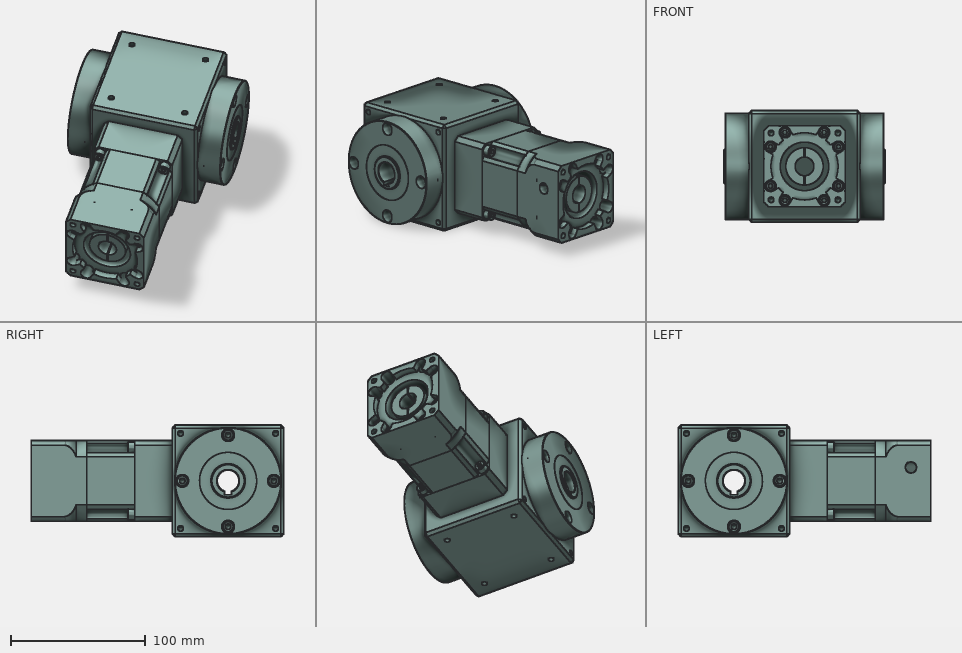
import cadquery as cq
import math


overall_length = 187.7
cube_side = 83.0
cube_chamfer = 2.3
top_hole_offset = 28.3
side_hole_offset = 35.3
tapped_hole_radius = 2.0
tapped_hole_depth = 9.4
drill_tip_angle = 118.0

flange_radius = 39.6
flange_half_span = 59.0
flange_chamfer = 0.4
seal_radius = 21.2
seal_recess = 0.2
shaft_radius = 12.8
shaft_span = 120.0
shaft_chamfer = 0.8
bore_radius = 8.0
bore_chamfer = 0.4
key_width = 5.0
key_bottom = 10.1
flange_screw_circle = 34.0
flange_pocket_radius = 4.7
flange_pocket_depth = 13.1
flange_head_radius = 4.1
flange_head_height = 4.1
flange_center_radius = 2.0
flange_center_depth = 2.3

stage_side = 60.3
stage_chamfer = 3.5
block_length = 27.5
ring_length = 35.7
ring_flat_half_width = 17.8
screw_offset = 24.8
channel_radius = 5.0
screw_head_radius = 4.0
screw_head_height = 5.3
screw_head_chamfer = 0.4
socket_diameter = 3.5
socket_depth = 2.3

turned_length = 8.0
flare_length = 9.4
pilot_radius = 25.0
pilot_depth = 5.5
through_bore_radius = 18.0
motor_hole_offset = 24.8
pocket_radius = 4.1
pocket_depth = 22.5
pocket_circle = 29.0
pocket_angle = 30
pocket_head_radius = 3.5
access_radius = 4.1
access_height = 10.0
access_from_front = 14.8

hub_radius = 13.9
hub_bore_radius = 7.0
hub_bore_depth = 26.3
hub_slot_width = 1.0
hub_setback = 1.5

cube_half = cube_side / 2
shaft_half_span = shaft_span / 2
stage_half = stage_side / 2
block_rear = -cube_half
block_front = block_rear - block_length
ring_front = block_front - ring_length
adapter_front = cube_half - overall_length
pilot_floor = adapter_front + pilot_depth
hub_front = pilot_floor + hub_setback
adapter_length = ring_front - adapter_front
turned_radius = math.hypot(stage_half, ring_flat_half_width)
corner_radius = math.hypot(stage_half, stage_half - stage_chamfer)
corner_signs = [(sx, sz) for sx in (-1, 1) for sz in (-1, 1)]


def cylinder(start, direction, radius, length):
    """Solid cylinder from a start point along a direction."""
    return cq.Workplane(cq.Solid.makeCylinder(radius, length, cq.Vector(*start), cq.Vector(*direction)))


def drilled_hole(start, direction, radius, depth):
    """Blind hole cutter that ends in a conical drill tip."""
    tip_length = radius / math.tan(math.radians(drill_tip_angle / 2))
    tip_start = cq.Vector(*start) + cq.Vector(*direction) * depth
    tip = cq.Solid.makeCone(radius, 0, tip_length, tip_start, cq.Vector(*direction))
    return cylinder(start, direction, radius, depth).union(cq.Workplane(tip))


def chamfered_prism(rear, length, chamfer):
    """Square bar along the input axis, from its rear end toward -Y, with chamfered long edges."""
    return (
        cq.Workplane("XZ", origin=(0, rear, 0))
        .rect(stage_side, stage_side)
        .extrude(length)
        .edges("|Y")
        .chamfer(chamfer)
    )


def socket_screw_head(x, seat, z, radius):
    """Cap-screw head on a seat at y = seat, with its hexagon socket toward -Y."""
    return (
        cq.Workplane("XZ", origin=(x, seat, z))
        .circle(radius)
        .extrude(screw_head_height)
        .faces("<Y")
        .chamfer(screw_head_chamfer)
        .faces("<Y")
        .workplane()
        .polygon(6, socket_diameter)
        .cutBlind(-socket_depth)
    )


def add_output_side(case, side):
    """Add the flange and shaft end on one side of the cube (side is -1 or +1)."""
    outward = (side, 0, 0)
    inward = (-side, 0, 0)
    end_face = ">X" if side > 0 else "<X"
    flange = cylinder((0, 0, 0), outward, flange_radius, flange_half_span)
    flange = flange.faces(end_face).chamfer(flange_chamfer)
    flange = flange.cut(cylinder((side * flange_half_span, 0, 0), inward, seal_radius, seal_recess))
    shaft = cylinder((0, 0, 0), outward, shaft_radius, shaft_half_span)
    shaft = shaft.faces(end_face).chamfer(shaft_chamfer)
    case = case.union(flange).union(shaft)

    pocket_floor = flange_half_span - flange_pocket_depth
    head_face = pocket_floor + flange_head_height
    for quarter in range(4):
        angle = math.radians(90 * quarter)
        y = flange_screw_circle * math.cos(angle)
        z = flange_screw_circle * math.sin(angle)
        pocket = cylinder((side * flange_half_span, y, z), inward, flange_pocket_radius, flange_pocket_depth)
        head = cylinder((side * pocket_floor, y, z), outward, flange_head_radius, flange_head_height)
        head = head.faces(end_face).chamfer(screw_head_chamfer)
        center = drilled_hole((side * head_face, y, z), inward, flange_center_radius, flange_center_depth)
        case = case.cut(pocket).union(head).cut(center)

    for sy, sz in corner_signs:
        start = (side * cube_half, sy * side_hole_offset, sz * side_hole_offset)
        case = case.cut(drilled_hole(start, inward, tapped_hole_radius, tapped_hole_depth))
    return case


def output_bore():
    """Keyed through bore along the output axis, chamfered at both ends."""
    bore = cylinder((-shaft_half_span, 0, 0), (1, 0, 0), bore_radius, shaft_span)
    for side in (-1, 1):
        mouth = cq.Solid.makeCone(
            bore_radius + bore_chamfer,
            bore_radius,
            bore_chamfer,
            cq.Vector(side * shaft_half_span, 0, 0),
            cq.Vector(-side, 0, 0),
        )
        bore = bore.union(cq.Workplane(mouth))
    keyway = (
        cq.Workplane("XY")
        .box(shaft_span, key_width, key_bottom, centered=(True, True, False))
        .translate((0, 0, -key_bottom))
    )
    return bore.union(keyway)


def make_gear_case():
    case = cq.Workplane("XY").box(cube_side, cube_side, cube_side).edges().chamfer(cube_chamfer)
    for side in (-1, 1):
        case = add_output_side(case, side)
    for side in (-1, 1):
        for sx, sy in corner_signs:
            start = (sx * top_hole_offset, sy * top_hole_offset, side * cube_half)
            case = case.cut(drilled_hole(start, (0, 0, -side), tapped_hole_radius, tapped_hole_depth))
    return case.cut(output_bore())


def make_neck_block():
    block = chamfered_prism(block_rear, block_length, stage_chamfer)
    for sx, sz in corner_signs:
        block = block.union(
            socket_screw_head(sx * screw_offset, block_front, sz * screw_offset, screw_head_radius)
        )
    return block


def make_input_stage():
    stage = cq.Workplane("XZ", origin=(0, block_front, 0)).rect(stage_side, stage_side).extrude(ring_length)
    stage = stage.intersect(cylinder((0, block_front, 0), (0, -1, 0), turned_radius, ring_length))
    for sx, sz in corner_signs:
        start = (sx * screw_offset, block_front, sz * screw_offset)
        stage = stage.cut(cylinder(start, (0, -1, 0), channel_radius, ring_length))

    hub_length = ring_front - hub_front
    stage = stage.union(cylinder((0, ring_front, 0), (0, -1, 0), hub_radius, hub_length))
    slot = cq.Workplane("XY").box(hub_slot_width, hub_bore_depth, 2 * hub_radius, centered=(True, False, True))
    stage = stage.cut(slot.translate((0, hub_front, 0)))
    return stage.cut(cylinder((0, hub_front, 0), (0, 1, 0), hub_bore_radius, hub_bore_depth))


def turned_envelope():
    """Round envelope that trims the rear corners and flares out to the full corner radius."""
    turned_end = ring_front - turned_length
    flare_end = turned_end - flare_length
    rise = corner_radius - turned_radius
    flare_radius = (flare_length**2 + rise**2) / (2 * rise)
    half_angle = math.asin(flare_length / flare_radius) / 2
    arc_middle = (
        corner_radius - flare_radius * (1 - math.cos(half_angle)),
        flare_end + flare_radius * math.sin(half_angle),
    )
    return (
        cq.Workplane("XY")
        .moveTo(0, ring_front)
        .lineTo(turned_radius, ring_front)
        .lineTo(turned_radius, turned_end)
        .threePointArc(arc_middle, (corner_radius, flare_end))
        .lineTo(corner_radius, adapter_front)
        .lineTo(0, adapter_front)
        .close()
        .revolve(360, (0, 0, 0), (0, 1, 0))
    )


def cut_screw_pocket(adapter, angle):
    """Cut one deep screw pocket with its radial slot to the pilot recess, and seat a screw head in it."""
    x = pocket_circle * math.cos(math.radians(angle))
    z = pocket_circle * math.sin(math.radians(angle))
    slot = (
        cq.Workplane("XY")
        .box(pocket_circle, pilot_depth, 2 * pocket_radius, centered=(False, False, True))
        .rotate((0, 0, 0), (0, 1, 0), -angle)
        .translate((0, adapter_front, 0))
    )
    pocket = cylinder((x, adapter_front, z), (0, 1, 0), pocket_radius, pocket_depth)
    head = socket_screw_head(x, adapter_front + pocket_depth, z, pocket_head_radius)
    return adapter.cut(slot).cut(pocket).union(head)


def make_motor_adapter():
    adapter = chamfered_prism(ring_front, adapter_length, stage_chamfer).intersect(turned_envelope())
    adapter = adapter.cut(cylinder((0, adapter_front, 0), (0, 1, 0), pilot_radius, pilot_depth))
    for quarter in range(4):
        for offset in (pocket_angle, 90 - pocket_angle):
            adapter = cut_screw_pocket(adapter, 90 * quarter + offset)
    adapter = adapter.cut(cylinder((0, adapter_front, 0), (0, 1, 0), through_bore_radius, adapter_length))
    for sx, sz in corner_signs:
        start = (sx * motor_hole_offset, adapter_front, sz * motor_hole_offset)
        adapter = adapter.cut(drilled_hole(start, (0, 1, 0), tapped_hole_radius, tapped_hole_depth))
    access_start = (-stage_half, adapter_front + access_from_front, access_height)
    return adapter.cut(cylinder(access_start, (1, 0, 0), access_radius, stage_half))


gear_case = make_gear_case()
neck_block = make_neck_block()
input_stage = make_input_stage()
motor_adapter = make_motor_adapter()

result = cq.Compound.makeCompound(
    [gear_case.val(), neck_block.val(), input_stage.val(), motor_adapter.val()]
)